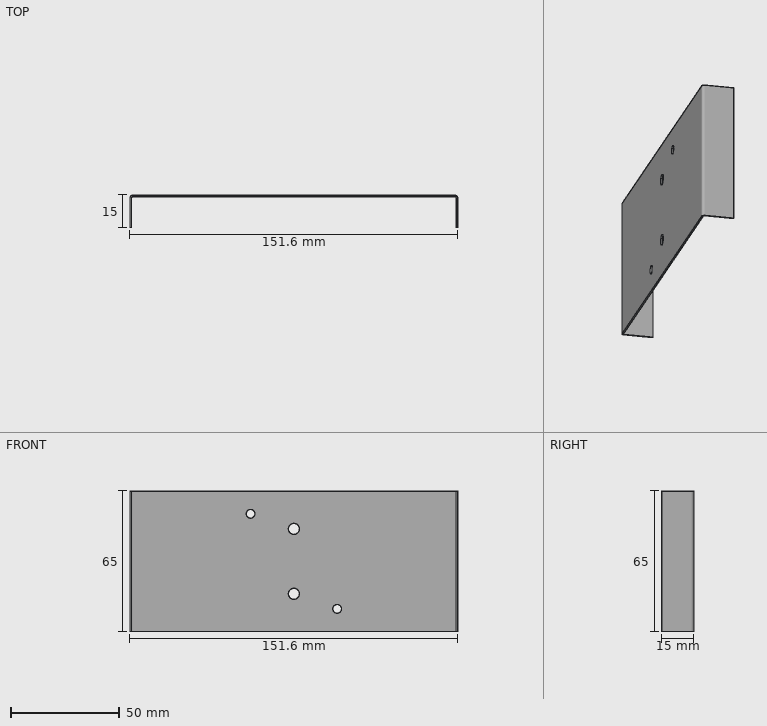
import cadquery as cq

length = 151.6
depth = 15.0
height = 65.0

thickness = 0.8
inner_bend_radius = 0.49
outer_bend_radius = inner_bend_radius + thickness

large_hole_diameter = 5.0
large_hole_offset_z = 15.0
small_hole_diameter = 4.0
small_hole_offset_x = 20.0
small_hole_offset_z = 22.0


def make_channel():
    """Bent sheet: a flat web with two flanges, joined by concentric bends."""
    outer = (
        cq.Workplane("XY")
        .box(length, depth, height)
        .edges("|Z and >Y")
        .fillet(outer_bend_radius)
    )
    inner = (
        cq.Workplane("XY")
        .box(length - 2 * thickness, depth, height)
        .edges("|Z and >Y")
        .fillet(inner_bend_radius)
        .translate((0, -thickness, 0))
    )
    return outer.cut(inner)


def make_hole_pair(diameter, offset_x, offset_z):
    """Cutters along Y at (-x, +z) and (+x, -z)."""
    return (
        cq.Workplane("XZ")
        .pushPoints([(-offset_x, offset_z), (offset_x, -offset_z)])
        .circle(diameter / 2)
        .extrude(depth, both=True)
    )


result = (
    make_channel()
    .cut(make_hole_pair(large_hole_diameter, 0, large_hole_offset_z))
    .cut(make_hole_pair(small_hole_diameter, small_hole_offset_x, small_hole_offset_z))
)